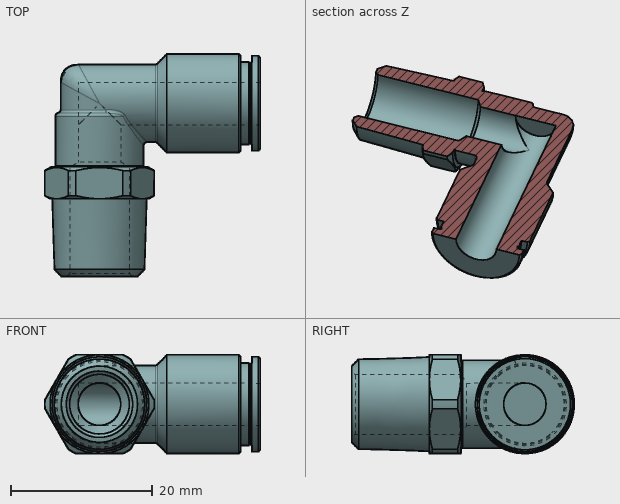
import math
import cadquery as cq


tube_radius = 5.5
corner_start = 3.0
tube_end = 7.0

socket_radius = 7.0
cone_start = 8.05
cone_blend = 0.4
cone_length = socket_radius - tube_radius
socket_end = 20.0
rim_chamfer = 0.3
neck_radius = 5.85
groove_depth = 0.2
groove_center = 21.3
flange_radius = 6.75
flange_start = 21.55
arm_end = 22.75

collar_radius = 6.25
shoulder_depth = 1.83
shoulder_rounding = 0.5
tube_blend = 0.48
collar_chamfer = 0.2

hex_top = 9.0
hex_bottom = 13.5
hex_across_flats = 14.0
hex_corner_radius = 7.75
hex_top_face_radius = 6.85
hex_bottom_face_radius = 7.0
hex_chamfer_angle = 30

stem_end = 24.5
thread_radius = 6.7
thread_chamfer = 1.0
taper_per_length = 1 / 32

flow_radius = 3.0
stem_bore_radius = 4.22
stem_bore_bottom = hex_top
bore_mouth_chamfer = 0.48
bore_cone_angle = 118


def stem_profile(points):
    """Turn (radius, depth) points around the stem axis; depth runs along -Y."""
    outline = [(radius, -depth) for radius, depth in points]
    return cq.Workplane("XY").polyline(outline).close().revolve(360, (0, 0), (0, 1))


def arm_profile(points):
    """Turn (x, radius) points around the arm axis."""
    return cq.Workplane("XY").polyline(points).close().revolve(360, (0, 0), (1, 0))


def sector_prism(points):
    """Tall prism over an XY outline, used to keep one sector of the elbow."""
    return cq.Workplane("XY").polyline(points).close().extrude(2 * tube_radius, both=True)


def make_elbow():
    """Two tubes joined by an ellipsoidal corner that is tangent to both of them."""
    arm = cq.Workplane("YZ").workplane(offset=-tube_radius).circle(tube_radius).extrude(tube_radius + tube_end)
    stem = cq.Workplane("XZ").workplane(offset=-tube_radius).circle(tube_radius).extrude(tube_radius + hex_top)

    arm_ray = (-2 * corner_start, 2 * tube_radius)
    stem_ray = (-2 * tube_radius, 2 * corner_start)
    far = stem_end
    arm_sector = sector_prism([(0, 0), arm_ray, (far, arm_ray[1]), (far, -far), (0, -far)])
    stem_sector = sector_prism([(0, 0), stem_ray, (stem_ray[0], -far), (far, -far), (far, 0)])

    along = math.sqrt(tube_radius * (tube_radius + corner_start))
    across = math.sqrt(tube_radius * (tube_radius - corner_start))
    half_angle = math.degrees(math.atan2(across, along))
    stretch = cq.Matrix([[along, 0, 0, 0], [0, across, 0, 0], [0, 0, tube_radius, 0], [0, 0, 0, 1]])
    outer_diagonal = 135
    half_disc = cq.Workplane("XZ").moveTo(0, -1).threePointArc((1, 0), (0, 1)).close()
    wedge = half_disc.revolve(2 * half_angle, (0, 0), (0, 1)).rotate((0, 0, 0), (0, 0, 1), -half_angle)
    corner = cq.Workplane(wedge.val().transformGeometry(stretch)).rotate((0, 0, 0), (0, 0, 1), outer_diagonal)

    arm = arm.intersect(arm_sector)
    stem = stem.intersect(stem_sector)
    return arm.union(stem).union(corner)


def make_socket():
    """Coned socket body, neck with a V groove, and release flange."""
    socket = arm_profile([
        (tube_end, 0),
        (tube_end, tube_radius),
        (cone_start, tube_radius),
        (cone_start + cone_length, socket_radius),
        (socket_end - rim_chamfer, socket_radius),
        (socket_end, socket_radius - rim_chamfer),
        (socket_end, neck_radius),
        (groove_center - groove_depth, neck_radius),
        (groove_center, neck_radius - groove_depth),
        (flange_start, neck_radius),
        (flange_start, flange_radius),
        (arm_end - rim_chamfer, flange_radius),
        (arm_end, flange_radius - rim_chamfer),
        (arm_end, 0),
    ])
    cone_foot = cq.selectors.NearestToPointSelector((cone_start, 0, 0))
    return socket.edges(cone_foot).fillet(cone_blend)


def make_collar():
    """Sleeve with a rounded shoulder that slopes up towards the tube."""
    slope = math.asin(1 - (collar_radius - tube_radius) / (2 * shoulder_rounding))
    center_radius = collar_radius - shoulder_rounding
    end_angle = math.pi / 2 - slope

    def on_rounding(angle):
        radius = center_radius + shoulder_rounding * math.cos(angle)
        return (radius, -shoulder_depth + shoulder_rounding * math.sin(angle))

    shoulder_end = on_rounding(end_angle)
    top = shoulder_end[1] + (shoulder_end[0] - flow_radius) * math.tan(slope)
    return (
        cq.Workplane("XY")
        .moveTo(0, -hex_top)
        .lineTo(collar_radius - collar_chamfer, -hex_top)
        .lineTo(collar_radius, -hex_top + collar_chamfer)
        .lineTo(collar_radius, -shoulder_depth)
        .threePointArc(on_rounding(end_angle / 2), shoulder_end)
        .lineTo(flow_radius, top)
        .lineTo(0, top)
        .close()
        .revolve(360, (0, 0), (0, 1))
    )


def blend_collar(body):
    """Round the inner corner where the collar meets the stem tube and the arm."""
    tolerance = 0.01

    def is_seam(edge):
        middle = edge.positionAt(0.5)
        on_stem = abs(math.hypot(middle.x, middle.z) - tube_radius) < tolerance
        on_arm = abs(math.hypot(middle.y, middle.z) - tube_radius) < tolerance
        extent = edge.BoundingBox()
        beside_collar = extent.ymax < -shoulder_rounding and extent.xmax < collar_radius + tolerance
        return beside_collar and (on_stem or on_arm)

    seam = [edge for edge in body.edges().vals() if is_seam(edge)]
    return body.newObject(seam).fillet(tube_blend)


def make_hex():
    """Hexagon with corners on the X axis, turned down and chamfered at both ends."""
    height = hex_bottom - hex_top
    corner_diameter = hex_across_flats / math.cos(math.pi / 6)
    prism = cq.Workplane("XZ").workplane(offset=hex_top).polygon(6, corner_diameter).extrude(height)
    chamfer_slope = math.tan(math.radians(hex_chamfer_angle))
    top_drop = (hex_corner_radius - hex_top_face_radius) * chamfer_slope
    bottom_drop = (hex_corner_radius - hex_bottom_face_radius) * chamfer_slope
    blank = stem_profile([
        (0, hex_top),
        (hex_top_face_radius, hex_top),
        (hex_corner_radius, hex_top + top_drop),
        (hex_corner_radius, hex_bottom - bottom_drop),
        (hex_bottom_face_radius, hex_bottom),
        (0, hex_bottom),
    ])
    return prism.intersect(blank)


def make_thread():
    chamfer_start = stem_end - thread_chamfer
    small_radius = thread_radius - (chamfer_start - hex_bottom) * taper_per_length
    return stem_profile([
        (0, hex_bottom),
        (thread_radius, hex_bottom),
        (small_radius, chamfer_start),
        (small_radius - thread_chamfer, stem_end),
        (0, stem_end),
    ])


def make_bores():
    """Stem bore with a coned floor, opening into a flow passage along both axes."""
    cone_depth = (stem_bore_radius - flow_radius) / math.tan(math.radians(bore_cone_angle / 2))
    stem_bore = stem_profile([
        (0, 0),
        (flow_radius, 0),
        (flow_radius, stem_bore_bottom - cone_depth),
        (stem_bore_radius, stem_bore_bottom),
        (stem_bore_radius, stem_end - bore_mouth_chamfer),
        (stem_bore_radius + bore_mouth_chamfer, stem_end),
        (0, stem_end),
    ])
    passage_length = arm_end + flow_radius
    passage = cq.Workplane("YZ").workplane(offset=-flow_radius).circle(flow_radius).extrude(passage_length)
    return stem_bore.union(passage)


solid_body = (
    blend_collar(make_elbow().union(make_collar()))
    .union(make_socket())
    .union(make_hex())
    .union(make_thread())
)
result = solid_body.cut(make_bores())